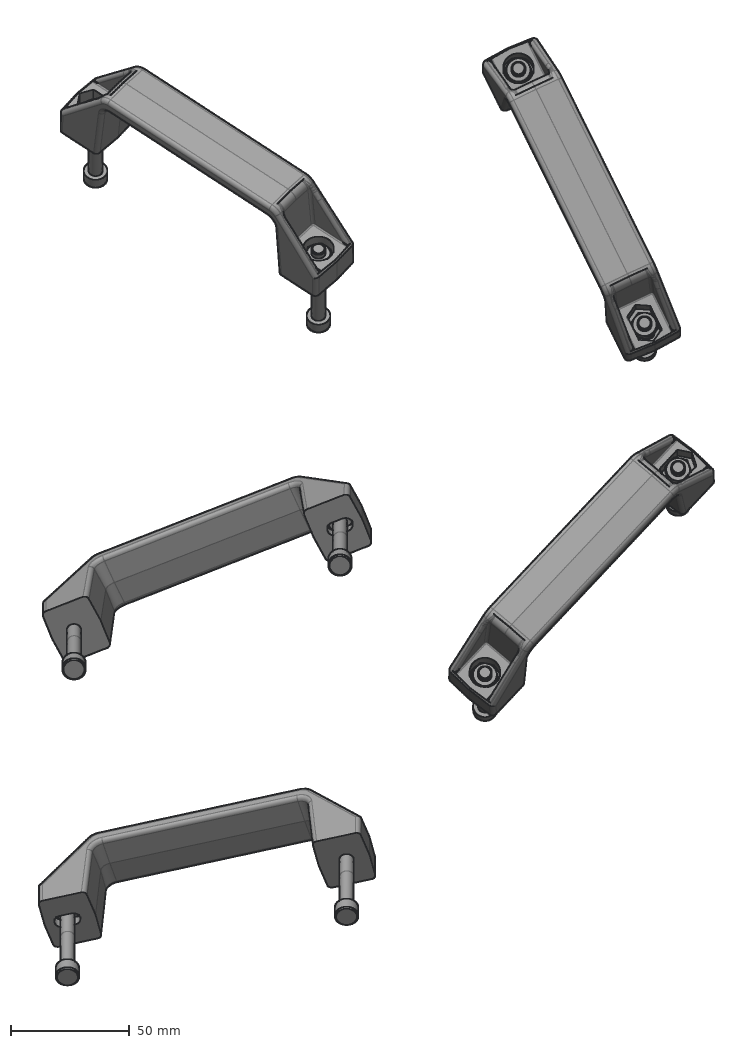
import cadquery as cq
import math

length = 142.0
base_width = 26.0
height = 40.0
grip_thickness = 8.0
foot_length = 22.2
end_height = 12.2
slope_angle = 49.5
leg_draft = 4.5
side_draft = 1.0
crown_angle = 3.2
outer_bend_radius = 6.6
inner_bend_radius = 4.0
side_round = 2.0

screw_offset = 61.0
floor_height = 13.0
pocket_width = 17.8
back_wall = 2.7
roll_start = 36.2
roll_reach = 3.0
roll_top = 39.6
pocket_corner_radius = 1.2
pocket_floor_radius = 0.6
pocket_rim_radius = 1.6

screw_diameter = 6.0
screw_length = 45.0
screw_plain_length = 21.0
screw_tip_diameter = 5.0
head_diameter = 10.0
head_height = 6.0
head_chamfer = 0.6
screw_bottom = -38.0
nut_flats = 10.0
nut_height = 5.0
nut_chamfer_angle = 30.0

seat_height = 5.0
hole_diameter = 6.2
slot_travel = 5.0
hex_seat_flats = 10.7
round_seat_diameter = 13.0

half_length = length / 2
underside = height - grip_thickness
overshoot = 5.0
tolerance = 0.01
rise_tolerance = 10.0


def tan(angle):
    return math.tan(math.radians(angle))


def inner_leg_x(z):
    """X of the left leg's inner face on the middle plane."""
    return -half_length + foot_length + z * tan(leg_draft)


def handle_half():
    """The half of the handle at +Y, shrinking away from the middle plane."""
    top_corner_x = -half_length + (height - end_height) / tan(slope_angle)
    outer_tangent = outer_bend_radius * tan(slope_angle / 2)
    inner_tangent = inner_bend_radius * tan((90 - leg_draft) / 2)

    slope_rad = math.radians(slope_angle)
    draft_rad = math.radians(leg_draft)
    inner_corner_x = inner_leg_x(underside)
    outer_start = (
        top_corner_x - outer_tangent * math.cos(slope_rad),
        height - outer_tangent * math.sin(slope_rad),
    )
    outer_end = (top_corner_x + outer_tangent, height)
    inner_start = (
        inner_corner_x - inner_tangent * math.sin(draft_rad),
        underside - inner_tangent * math.cos(draft_rad),
    )
    inner_end = (inner_corner_x + inner_tangent, underside)

    def mirrored(point):
        return (-point[0], point[1])

    outline = (
        cq.Workplane("XZ")
        .moveTo(-half_length, -overshoot)
        .lineTo(-half_length, end_height)
        .lineTo(*outer_start)
        .tangentArcPoint(outer_end, relative=False)
        .lineTo(*mirrored(outer_end))
        .tangentArcPoint(mirrored(outer_start), relative=False)
        .lineTo(half_length, end_height)
        .lineTo(half_length, -overshoot)
        .lineTo(-inner_leg_x(-overshoot), -overshoot)
        .lineTo(*mirrored(inner_start))
        .tangentArcPoint(mirrored(inner_end), relative=False)
        .lineTo(*inner_end)
        .tangentArcPoint(inner_start, relative=False)
        .lineTo(inner_leg_x(-overshoot), -overshoot)
        .close()
    )
    return outline.extrude(-base_width, taper=crown_angle)


def side_envelope():
    """Wedge that trims the base flat and gives the sides their draft."""
    base_half = base_width / 2
    top = height + overshoot
    top_half = base_half - top * tan(side_draft)
    return (
        cq.Workplane("YZ")
        .polyline([(-base_half, 0), (base_half, 0), (top_half, top), (-top_half, top)])
        .close()
        .extrude(half_length + overshoot, both=True)
    )


def on_pocket_side(edge):
    """Whether an edge lies in the plane of a pocket's side wall."""
    return all(abs(abs(vertex.Y) - pocket_width / 2) < tolerance for vertex in edge.Vertices())


def pocket(side):
    """Open pocket above a foot; its back wall follows the inner leg face and rolls over into the grip."""
    top = height + overshoot
    outside_x = -half_length - overshoot
    roll_x = inner_leg_x(roll_start) - back_wall
    roll_end = (roll_x + roll_reach, roll_top)
    half_width = pocket_width / 2
    draft_rad = math.radians(leg_draft)
    profile = (
        cq.Workplane("XZ", origin=(0, -half_width, 0))
        .moveTo(outside_x, 0)
        .lineTo(inner_leg_x(0) - back_wall, 0)
        .lineTo(roll_x, roll_start)
        .tangentArcPoint(roll_end, relative=False)
        .lineTo(roll_end[0], top)
        .lineTo(outside_x, top)
        .close()
    )
    axis_end = (roll_x + math.cos(draft_rad), 0, roll_start - math.sin(draft_rad))
    tilted = profile.extrude(-3 * half_width).rotate((roll_x, 0, roll_start), axis_end, -crown_angle)
    room = (
        cq.Workplane("XY", origin=(0, half_width / 2, floor_height))
        .rect(2 * length, half_width)
        .extrude(height)
    )
    half = tilted.intersect(room)
    cutter = half.union(half.mirror("XZ"))

    def at_back_corner(edge):
        center = edge.Center()
        between_ends = floor_height < center.z < roll_top
        behind = inner_leg_x(floor_height) - 2 * back_wall < center.x < roll_end[0]
        return on_pocket_side(edge) and between_ends and behind

    corners = [edge for edge in cutter.edges().vals() if at_back_corner(edge)]
    cutter = cutter.newObject(corners).fillet(pocket_corner_radius)
    return cutter if side < 0 else cutter.mirror("YZ")


def round_sides(body):
    """Round the outline of both drafted sides, leaving the base edges sharp."""
    least_normal_y = math.cos(math.radians(2 * side_draft)) - tolerance
    sides = [face for face in body.faces().vals() if abs(face.normalAt().y) > least_normal_y]
    return body.newObject(sides).edges("not <Z").fillet(side_round)


def round_pocket_rims(body):
    """Round the inner rims where the pocket side walls meet the slopes."""

    def on_rim(edge):
        if edge.geomType() != "LINE" or not on_pocket_side(edge):
            return False
        rise = math.degrees(math.asin(abs(edge.tangentAt(0).z)))
        return abs(rise - slope_angle) < rise_tolerance

    rim = [edge for edge in body.edges().vals() if on_rim(edge)]
    return body.newObject(rim).fillet(pocket_rim_radius)


def pocket_floor_fillet(side, blank):
    """Fillet strip along the floor edges, trimmed to the solid handle blank."""
    sharp = pocket(side)
    inner_edges = "not <X" if side < 0 else "not >X"
    rounded = sharp.faces("<Z").edges(inner_edges).fillet(pocket_floor_radius)
    return sharp.cut(rounded).intersect(blank)


def hexagon(x, z, flats):
    """Hexagon sketch with two flats facing +Y and -Y."""
    corners = flats / math.cos(math.pi / 6)
    return cq.Workplane("XY", origin=(x, 0, z)).polygon(6, corners)


def sliding_seat():
    """Stretched hexagonal seat and slotted hole of the left foot."""
    depth = floor_height + overshoot - seat_height
    seat = None
    for shift in (-slot_travel / 2, slot_travel / 2):
        end = hexagon(shift - screw_offset, seat_height, hex_seat_flats).extrude(depth)
        seat = end if seat is None else seat.union(end)
    middle = (
        cq.Workplane("XY", origin=(-screw_offset, 0, seat_height))
        .rect(slot_travel, hex_seat_flats)
        .extrude(depth)
    )
    slot = (
        cq.Workplane("XY", origin=(-screw_offset, 0, -overshoot))
        .slot2D(slot_travel + hole_diameter, hole_diameter)
        .extrude(2 * overshoot + seat_height)
    )
    return seat.union(middle).union(slot)


def round_seat():
    """Counterbore and round hole of the right foot."""
    seat = (
        cq.Workplane("XY", origin=(screw_offset, 0, seat_height))
        .circle(round_seat_diameter / 2)
        .extrude(floor_height + overshoot - seat_height)
    )
    hole = (
        cq.Workplane("XY", origin=(screw_offset, 0, -overshoot))
        .circle(hole_diameter / 2)
        .extrude(2 * overshoot + seat_height)
    )
    return seat.union(hole)


def make_handle():
    half = handle_half()
    body = half.union(half.mirror("XZ")).intersect(side_envelope())
    blank = round_sides(body)
    body = blank.cut(pocket(-1)).cut(pocket(1))
    body = round_pocket_rims(body)
    for side in (-1, 1):
        body = body.union(pocket_floor_fillet(side, blank))
    return body.cut(sliding_seat()).cut(round_seat())


def make_screw(x):
    """Cap screw pointing up; the thread is a plain cylinder, kept as its own face above the shank."""
    radius = screw_diameter / 2
    head_radius = head_diameter / 2
    tip_radius = screw_tip_diameter / 2
    head_top = screw_bottom + head_height
    tip_z = head_top + screw_length
    profile = [
        (0, screw_bottom),
        (head_radius - head_chamfer, screw_bottom),
        (head_radius, screw_bottom + head_chamfer),
        (head_radius, head_top),
        (radius, head_top),
        (radius, head_top + screw_plain_length),
        (radius, tip_z - (radius - tip_radius)),
        (tip_radius, tip_z),
        (0, tip_z),
    ]
    screw = cq.Workplane("XZ").polyline(profile).close().revolve(360, (0, 0), (0, 1), clean=False)
    return screw.translate((x, 0, 0))


def make_nut(x):
    """Hexagon nut on its seat, with the corners chamfered at both ends."""
    flat_radius = nut_flats / 2
    corner_radius = flat_radius / math.cos(math.pi / 6)
    drop = (corner_radius - flat_radius) * tan(nut_chamfer_angle)
    top = seat_height + nut_height
    envelope = (
        cq.Workplane("XZ")
        .polyline([
            (0, seat_height),
            (flat_radius, seat_height),
            (corner_radius, seat_height + drop),
            (corner_radius, top - drop),
            (flat_radius, top),
            (0, top),
        ])
        .close()
        .revolve(360, (0, 0), (0, 1))
        .translate((x, 0, 0))
    )
    bore = (
        cq.Workplane("XY", origin=(x, 0, seat_height))
        .circle(screw_diameter / 2)
        .extrude(nut_height)
    )
    return hexagon(x, seat_height, nut_flats).extrude(nut_height).intersect(envelope).cut(bore)


handle = make_handle()
screws = []
nuts = []
for x in (-screw_offset, screw_offset):
    screws.append(make_screw(x).val())
    nuts.append(make_nut(x).val())

result = cq.Compound.makeCompound([handle.val(), *screws, *nuts])